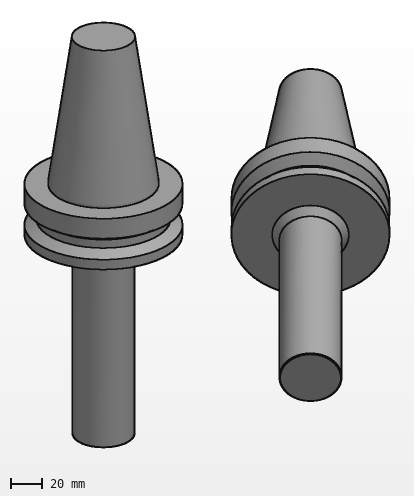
import cadquery as cq

total_length = 279.8
shank_length = 140.5
flange_height = 35.8
collar_height = 1.7

shank_diameter = 39.5
neck_diameter = 48.5
flange_diameter = 100.0
groove_diameter = 85.0
taper_large_diameter = 70.0
taper_small_diameter = 40.0

end_chamfer = 0.5
neck_height = 5.3
lower_rim_height = 7.0
upper_rim_height = 14.0
groove_flank_height = 4.5

flange_top = shank_length + flange_height
taper_start = flange_top + collar_height
groove_bottom = shank_length + lower_rim_height
groove_top = flange_top - upper_rim_height


def revolve_profile(points):
    """Turn a list of (radius, height) points, closed on the axis, about Z."""
    return cq.Workplane("XZ").polyline(points).close().revolve(360, (0, 0), (0, 1))


shank_radius = shank_diameter / 2
flange_radius = flange_diameter / 2
groove_radius = groove_diameter / 2
taper_large_radius = taper_large_diameter / 2

profile = [
    (0, 0),
    (shank_radius - end_chamfer, 0),
    (shank_radius, end_chamfer),
    (shank_radius, shank_length - neck_height),
    (neck_diameter / 2, shank_length),
    (flange_radius, shank_length),
    (flange_radius, groove_bottom),
    (groove_radius, groove_bottom + groove_flank_height),
    (groove_radius, groove_top - groove_flank_height),
    (flange_radius, groove_top),
    (flange_radius, flange_top),
    (taper_large_radius, flange_top),
    (taper_large_radius, taper_start),
    (taper_small_diameter / 2, total_length),
    (0, total_length),
]

result = revolve_profile(profile)